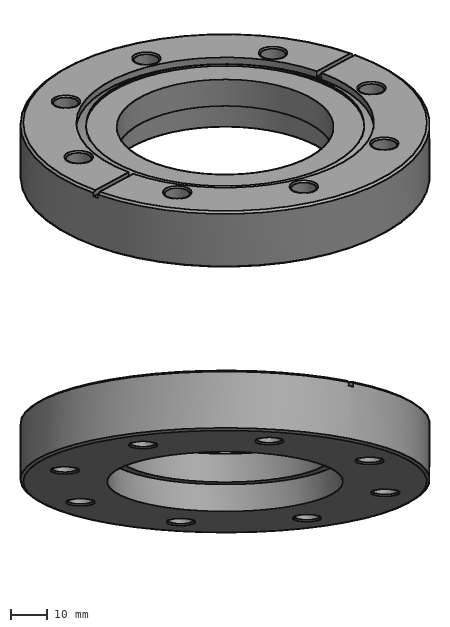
import cadquery as cq
import math

FLANGE_DIAMETER = 113.5
FLANGE_THICKNESS = 17.3
RIM_CHAMFER_WIDTH = 0.8
RIM_CHAMFER_HEIGHT = 0.6

RECESS_DIAMETER = 82.5
KNIFE_DIAMETER = 77.2
KNIFE_DEPTH = 0.8
GROOVE_DEPTH = 2.0
FLOOR_DEPTH = 1.4

BORE_DIAMETER = 60.2
SOCKET_DIAMETER = 65.4
SOCKET_HEIGHT = 7.7

BOLT_COUNT = 8
BOLT_CIRCLE_DIAMETER = 92.2
BOLT_HOLE_DIAMETER = 7.0
BOLT_CHAMFER_WIDTH = 0.5
BOLT_CHAMFER_HEIGHT = 0.5

LEAK_GROOVE_WIDTH = 1.6
LEAK_GROOVE_DEPTH = 1.6
LEAK_GROOVE_OVERLAP = 0.2
LEAK_GROOVE_ANGLES = (67.5, 247.5)


def make_body():
    """Revolve the ring section, including the knife edge, about Z."""
    outer = FLANGE_DIAMETER / 2
    recess = RECESS_DIAMETER / 2
    knife = KNIFE_DIAMETER / 2
    bore = BORE_DIAMETER / 2
    socket = SOCKET_DIAMETER / 2
    top = FLANGE_THICKNESS
    section = [
        (socket, 0),
        (outer - RIM_CHAMFER_WIDTH, 0),
        (outer, RIM_CHAMFER_HEIGHT),
        (outer, top - RIM_CHAMFER_HEIGHT),
        (outer - RIM_CHAMFER_WIDTH, top),
        (recess, top),
        (recess, top - GROOVE_DEPTH),
        (knife, top - KNIFE_DEPTH),
        (knife, top - FLOOR_DEPTH),
        (bore, top - FLOOR_DEPTH),
        (bore, SOCKET_HEIGHT),
        (socket, SOCKET_HEIGHT),
    ]
    profile = cq.Workplane("XZ").polyline(section).close()
    return profile.revolve(360, (0, 0, 0), (0, 1, 0))


def make_bolt_hole():
    """Through hole cutter on the Z axis, chamfered at both ends."""
    radius = BOLT_HOLE_DIAMETER / 2
    mouth = radius + BOLT_CHAMFER_WIDTH
    top = FLANGE_THICKNESS
    section = [
        (0, 0),
        (mouth, 0),
        (radius, BOLT_CHAMFER_HEIGHT),
        (radius, top - BOLT_CHAMFER_HEIGHT),
        (mouth, top),
        (0, top),
    ]
    profile = cq.Workplane("XZ").polyline(section).close()
    return profile.revolve(360, (0, 0, 0), (0, 1, 0))


def make_leak_groove(angle):
    """Radial slot cutter from the recess wall out through the rim."""
    start = RECESS_DIAMETER / 2 - LEAK_GROOVE_OVERLAP
    length = FLANGE_DIAMETER / 2 - start + RIM_CHAMFER_WIDTH
    cutter = cq.Workplane("XY").box(
        length, LEAK_GROOVE_WIDTH, LEAK_GROOVE_DEPTH, centered=(False, True, False)
    )
    placed = cutter.translate((start, 0, FLANGE_THICKNESS - LEAK_GROOVE_DEPTH))
    return placed.rotate((0, 0, 0), (0, 0, 1), angle)


result = make_body()

for index in range(BOLT_COUNT):
    bolt_angle = 2 * math.pi * index / BOLT_COUNT
    bolt_x = BOLT_CIRCLE_DIAMETER / 2 * math.cos(bolt_angle)
    bolt_y = BOLT_CIRCLE_DIAMETER / 2 * math.sin(bolt_angle)
    result = result.cut(make_bolt_hole().translate((bolt_x, bolt_y, 0)))

for groove_angle in LEAK_GROOVE_ANGLES:
    result = result.cut(make_leak_groove(groove_angle))